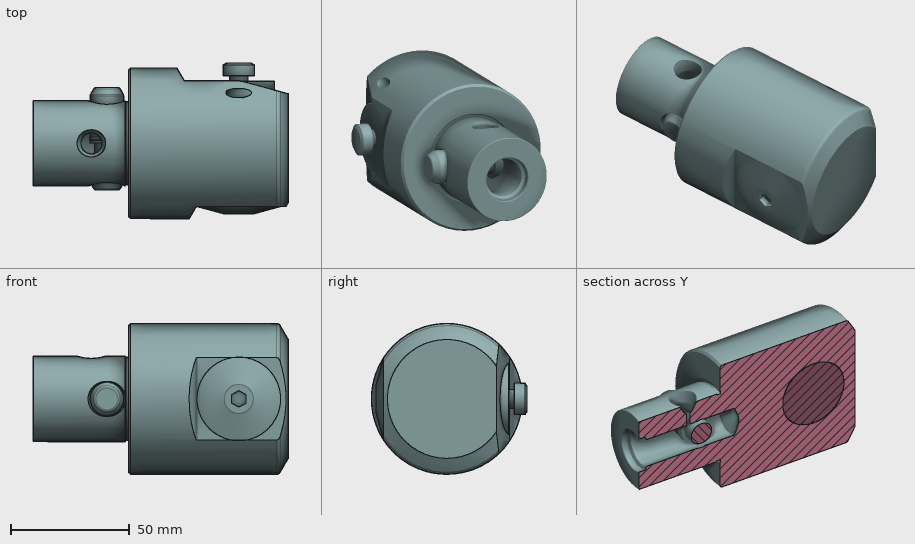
import cadquery as cq
import math

TOTAL_LENGTH = 107.2
SHANK_RADIUS = 18.0
SHANK_LENGTH = 40.0
SHANK_CHAMFER = 0.2
BODY_RADIUS = 31.7
BODY_CHAMFER = 1.0
NOSE_RADIUS = 25.0
NOSE_SLOPE = math.radians(60)
NOSE_EDGE_FILLET = 1.8

RELIEF_START = 38.6
RELIEF_RADIUS = 17.6
RELIEF_DEPTH = 0.3
RELIEF_MOUTH_RADIUS = 19.1

BORE_RADIUS = 8.0
BORE_MOUTH_RADIUS = 9.4
BORE_MOUTH_DEPTH = 3.0
BORE_MOUTH_CHAMFER = 0.2
BORE_SEAT_HALF_ANGLE = math.radians(60)
BORE_DEPTH = 47.2
DRILL_POINT_HALF_ANGLE = math.radians(59)

TOP_HOLE_X = 24.4
TOP_HOLE_MOUTH_RADIUS = 6.0
TOP_HOLE_RADIUS = 4.4
TOP_HOLE_TAPER_DEPTH = 5.5

STEP_SLOPE = math.radians(60)
FRONT_FLAT_Y = -26.6
FRONT_FLAT_START = 68.5
FRONT_FLAT_FILLET = 0.6
BACK_FLAT_Y = 26.4
BACK_FLAT_START = 63.5
BACK_BEVEL_START = 86.6
BACK_BEVEL_ANGLE = math.radians(15)

COOLANT_RADIUS = 2.7
COOLANT_RUNOUT = 10.7
COOLANT_EXIT_X = 86.4
COOLANT_TILT = math.radians(30)
COOLANT_AROUND = math.radians(48)

PIN_X = 31.0
PIN_CENTER_Y = 1.9
PIN_LENGTH = 43.1
PIN_RADIUS = 7.1
PIN_TIP_RADIUS = 5.3
PIN_TIP_ANGLE = math.radians(30)
PIN_TIP_FILLET = 1.1
PIN_SHOULDER_FILLET = 1.3
PIN_BEAD_RADIUS = 0.6
PIN_BEAD_RISE = 0.3
PIN_NECK_RADIUS = 5.1
PIN_NECK_START = -4.4
PIN_NECK_END = 0.1
PIN_MOUTH_RADIUS = 7.9
PIN_MOUTH_DEPTH = 2.7

CROSS_X = 86.4
SLIDE_RADIUS = 15.0
SLIDE_TOP_Y = 26.2
SLIDE_CHAMFER = 0.2
SCREW_TOP_Y = 33.8
SCREW_HEAD_HEIGHT = 5.5
SCREW_HEAD_RADIUS = 6.6
SCREW_CROWN_RADIUS = 5.1
SCREW_CROWN_HEIGHT = 0.9
SCREW_HEAD_CHAMFER = 0.2
SCREW_SHANK_RADIUS = 4.0
SCREW_DEPTH_IN_SLIDE = 10.7
DIAL_RADIUS = 17.6
DIAL_FACE_RADIUS = 6.1
DIAL_HEIGHT = 3.1
HEX_ACROSS_CORNERS = 7.0
HEX_DEPTH = 2.7


def turned_about_y(axis_x, profile):
    """Solid of revolution about the line X = axis_x along Y; profile points are (radius, y)."""
    outline = cq.Workplane("XY").polyline([(axis_x + radius, y) for radius, y in profile]).close()
    return outline.revolve(360, (axis_x, 0), (axis_x, 1))


def rod_along_y(axis_x, radius, start_y, end_y):
    corners = [(0, start_y), (radius, start_y), (radius, end_y), (0, end_y)]
    return turned_about_y(axis_x, corners)


def housing_blank():
    nose_length = (BODY_RADIUS - NOSE_RADIUS) / math.tan(NOSE_SLOPE)
    nose_start = TOTAL_LENGTH - nose_length
    relief_floor = SHANK_LENGTH + RELIEF_DEPTH
    outline = [
        (0, 0),
        (0, SHANK_RADIUS - SHANK_CHAMFER),
        (SHANK_CHAMFER, SHANK_RADIUS),
        (RELIEF_START, SHANK_RADIUS),
        (RELIEF_START + RELIEF_DEPTH, RELIEF_RADIUS),
        (relief_floor, RELIEF_RADIUS),
        (relief_floor, RELIEF_MOUTH_RADIUS - RELIEF_DEPTH),
        (SHANK_LENGTH, RELIEF_MOUTH_RADIUS),
        (SHANK_LENGTH, BODY_RADIUS - BODY_CHAMFER),
        (SHANK_LENGTH + BODY_CHAMFER, BODY_RADIUS),
        (nose_start, BODY_RADIUS),
        (TOTAL_LENGTH, NOSE_RADIUS),
        (TOTAL_LENGTH, 0),
    ]
    blank = cq.Workplane("XY").polyline(outline).close().revolve(360, (0, 0), (1, 0))
    widest_edges = blank.edges("%CIRCLE").edges(cq.selectors.RadiusNthSelector(-1))
    return widest_edges.edges(">X").fillet(NOSE_EDGE_FILLET)


def bore_cutter():
    seat_length = (BORE_MOUTH_RADIUS - BORE_RADIUS) / math.tan(BORE_SEAT_HALF_ANGLE)
    point_length = BORE_RADIUS / math.tan(DRILL_POINT_HALF_ANGLE)
    outline = [
        (0, 0),
        (0, BORE_MOUTH_RADIUS + BORE_MOUTH_CHAMFER),
        (BORE_MOUTH_CHAMFER, BORE_MOUTH_RADIUS),
        (BORE_MOUTH_DEPTH, BORE_MOUTH_RADIUS),
        (BORE_MOUTH_DEPTH + seat_length, BORE_RADIUS),
        (BORE_DEPTH, BORE_RADIUS),
        (BORE_DEPTH + point_length, 0),
    ]
    return cq.Workplane("XY").polyline(outline).close().revolve(360, (0, 0), (1, 0))


def top_hole_cutter():
    outline = [
        (TOP_HOLE_X, 0),
        (TOP_HOLE_X + TOP_HOLE_RADIUS, 0),
        (TOP_HOLE_X + TOP_HOLE_RADIUS, SHANK_RADIUS - TOP_HOLE_TAPER_DEPTH),
        (TOP_HOLE_X + TOP_HOLE_MOUTH_RADIUS, SHANK_RADIUS),
        (TOP_HOLE_X, SHANK_RADIUS),
    ]
    return cq.Workplane("XZ").polyline(outline).close().revolve(360, (TOP_HOLE_X, 0), (TOP_HOLE_X, 1))


def pin_hole_cutter():
    profile = [
        (0, -SHANK_RADIUS),
        (PIN_MOUTH_RADIUS, -SHANK_RADIUS),
        (PIN_RADIUS, PIN_MOUTH_DEPTH - SHANK_RADIUS),
        (PIN_RADIUS, SHANK_RADIUS - PIN_MOUTH_DEPTH),
        (PIN_MOUTH_RADIUS, SHANK_RADIUS),
        (0, SHANK_RADIUS),
    ]
    return turned_about_y(PIN_X, profile)


def through_z(outline):
    """Cutter with the given XY outline, passing through the whole body in Z."""
    return cq.Workplane("XY").polyline(outline).close().extrude(BODY_RADIUS, both=True)


def front_flat_cutter():
    rise = BODY_RADIUS + FRONT_FLAT_Y
    wall_run = rise / math.tan(STEP_SLOPE)
    cutter = through_z([
        (FRONT_FLAT_START, FRONT_FLAT_Y),
        (FRONT_FLAT_START - wall_run, -BODY_RADIUS),
        (TOTAL_LENGTH, -BODY_RADIUS),
        (TOTAL_LENGTH, FRONT_FLAT_Y),
    ])
    return cutter.edges("|Z").edges(">Y").edges("<X").fillet(FRONT_FLAT_FILLET)


def back_flat_cutter():
    wall_run = (BODY_RADIUS - BACK_FLAT_Y) / math.tan(STEP_SLOPE)
    bevel_drop = (TOTAL_LENGTH - BACK_BEVEL_START) * math.tan(BACK_BEVEL_ANGLE)
    return through_z([
        (BACK_FLAT_START - wall_run, BODY_RADIUS),
        (BACK_FLAT_START, BACK_FLAT_Y),
        (BACK_BEVEL_START, BACK_FLAT_Y),
        (TOTAL_LENGTH, BACK_FLAT_Y - bevel_drop),
        (TOTAL_LENGTH, BODY_RADIUS),
    ])


def coolant_cutter():
    start_x = COOLANT_EXIT_X - BODY_RADIUS / math.tan(COOLANT_TILT)
    outward = math.sin(COOLANT_TILT)
    direction = cq.Vector(
        math.cos(COOLANT_TILT),
        outward * math.cos(COOLANT_AROUND),
        outward * math.sin(COOLANT_AROUND),
    )
    length = BODY_RADIUS / outward + COOLANT_RUNOUT
    start = cq.Vector(start_x, 0, 0)
    return cq.Workplane(cq.Solid.makeCylinder(COOLANT_RADIUS, length, start, direction))


def make_housing():
    housing = housing_blank()
    housing = housing.cut(bore_cutter())
    housing = housing.cut(top_hole_cutter())
    housing = housing.cut(pin_hole_cutter())
    housing = housing.cut(front_flat_cutter())
    housing = housing.cut(back_flat_cutter())
    housing = housing.cut(coolant_cutter())
    return housing.cut(rod_along_y(CROSS_X, SLIDE_RADIUS, FRONT_FLAT_Y, BODY_RADIUS))


def make_pin():
    half_length = PIN_LENGTH / 2
    tip_length = (PIN_RADIUS - PIN_TIP_RADIUS) / math.tan(PIN_TIP_ANGLE)
    blank = turned_about_y(PIN_X, [
        (0, PIN_CENTER_Y - half_length),
        (PIN_TIP_RADIUS, PIN_CENTER_Y - half_length),
        (PIN_RADIUS, PIN_CENTER_Y - half_length + tip_length),
        (PIN_RADIUS, PIN_CENTER_Y + half_length - tip_length),
        (PIN_TIP_RADIUS, PIN_CENTER_Y + half_length),
        (0, PIN_CENTER_Y + half_length),
    ])
    pin = blank.faces("<Y or >Y").edges().fillet(PIN_TIP_FILLET)
    pin = pin.faces("%CYLINDER").edges("%CIRCLE").fillet(PIN_SHOULDER_FILLET)

    neck_sleeve = rod_along_y(PIN_X, PIN_RADIUS, PIN_NECK_START, PIN_NECK_END).cut(
        rod_along_y(PIN_X, PIN_NECK_RADIUS, PIN_NECK_START, PIN_NECK_END)
    )
    pin = pin.cut(neck_sleeve)

    groove_radius = PIN_RADIUS + PIN_BEAD_RISE - PIN_BEAD_RADIUS
    groove_start = PIN_CENTER_Y - PIN_BEAD_RADIUS
    groove_end = PIN_CENTER_Y + PIN_BEAD_RADIUS
    groove_sleeve = rod_along_y(PIN_X, PIN_RADIUS, groove_start, groove_end).cut(
        rod_along_y(PIN_X, groove_radius, groove_start, groove_end)
    )
    bead = (
        cq.Workplane("XY")
        .center(PIN_X + groove_radius, PIN_CENTER_Y)
        .circle(PIN_BEAD_RADIUS)
        .revolve(360, (-groove_radius, 0), (-groove_radius, 1))
    )
    return pin.cut(groove_sleeve).union(bead)


def make_screw():
    under_head = SCREW_TOP_Y - SCREW_HEAD_HEIGHT
    shank_end = SLIDE_TOP_Y - SCREW_DEPTH_IN_SLIDE
    return turned_about_y(CROSS_X, [
        (0, shank_end),
        (SCREW_SHANK_RADIUS, shank_end),
        (SCREW_SHANK_RADIUS, under_head),
        (SCREW_HEAD_RADIUS - SCREW_HEAD_CHAMFER, under_head),
        (SCREW_HEAD_RADIUS, under_head + SCREW_HEAD_CHAMFER),
        (SCREW_HEAD_RADIUS, SCREW_TOP_Y - SCREW_CROWN_HEIGHT),
        (SCREW_CROWN_RADIUS, SCREW_TOP_Y),
        (0, SCREW_TOP_Y),
    ])


def make_slide():
    slide = rod_along_y(CROSS_X, SLIDE_RADIUS, FRONT_FLAT_Y, SLIDE_TOP_Y)
    slide = slide.faces(">Y").edges().chamfer(SLIDE_CHAMFER)
    return slide.cut(make_screw())


def make_dial():
    face_y = FRONT_FLAT_Y - DIAL_HEIGHT
    cone = turned_about_y(CROSS_X, [
        (0, face_y),
        (DIAL_FACE_RADIUS, face_y),
        (DIAL_RADIUS, FRONT_FLAT_Y),
        (0, FRONT_FLAT_Y),
    ])
    hex_socket = (
        cq.Workplane("XZ", origin=(CROSS_X, face_y, 0))
        .transformed(rotate=(0, 0, 90))
        .polygon(6, HEX_ACROSS_CORNERS)
        .extrude(-HEX_DEPTH)
    )
    return cone.cut(hex_socket)


housing = make_housing()
pin = make_pin()
slide = make_slide()
screw = make_screw()
dial = make_dial()

result = cq.Compound.makeCompound([housing.val(), pin.val(), slide.val(), screw.val(), dial.val()])